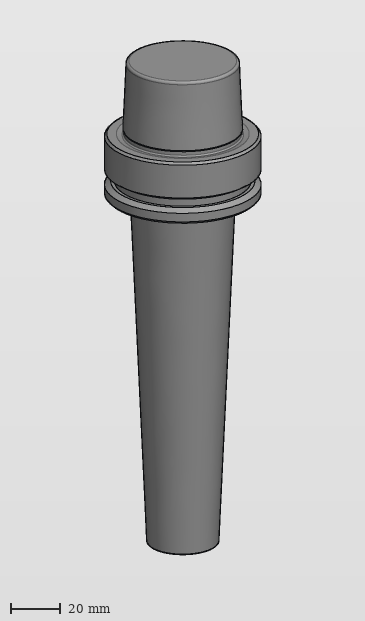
import cadquery as cq
import math

shank_length = 31.5
reach = 176.4
flange_width = 26.5
upper_collar_bottom = -16.7
lower_collar_top = -20.3

shank_top_radius = 22.85
shank_base_radius = 24.1
shank_base_height = 2.3
shank_edge_radius = 1.2

neck_radius = 23.7
neck_chamfer_height = 0.6
dish_radius = 26.7
dish_depth = 0.53
neck_fillet_radius = 0.6

flange_radius = 31.5
flange_chamfer = 1.0
groove_radius = 27.5
lip_radius = 29.0
lip_height = 1.5

nose_base_radius = 21.1
nose_tip_radius = 14.55
nose_root_radius = 3.0
nose_tip_chamfer = 0.5


def neck_fillet_ends():
    """Tangent points, as (radius, Z), of the fillet between the dish and the neck."""
    dish_slope = math.atan2(dish_depth, dish_radius - neck_radius)
    tangent_length = neck_fillet_radius / math.tan((math.pi / 2 - dish_slope) / 2)
    on_dish = (
        neck_radius + tangent_length * math.cos(dish_slope),
        -dish_depth + tangent_length * math.sin(dish_slope),
    )
    on_neck = (neck_radius, -dish_depth + tangent_length)
    return on_dish, on_neck


def half_profile():
    """Half section of the turned body; first coordinate is radius, second is Z."""
    fillet_start, fillet_end = neck_fillet_ends()
    profile = cq.Workplane("XZ").moveTo(0, -reach)

    profile = profile.lineTo(nose_tip_radius - nose_tip_chamfer, -reach)
    profile = profile.lineTo(nose_tip_radius, -reach + nose_tip_chamfer)
    profile = profile.lineTo(nose_base_radius, -flange_width - nose_root_radius)
    profile = profile.radiusArc((nose_base_radius + nose_root_radius, -flange_width), nose_root_radius)

    profile = profile.lineTo(flange_radius - flange_chamfer, -flange_width)
    profile = profile.lineTo(flange_radius, -flange_width + flange_chamfer)
    profile = profile.lineTo(flange_radius, lower_collar_top - lip_height)
    profile = profile.lineTo(lip_radius, lower_collar_top)

    profile = profile.lineTo(groove_radius, lower_collar_top)
    profile = profile.lineTo(groove_radius, upper_collar_bottom)

    profile = profile.lineTo(lip_radius, upper_collar_bottom)
    profile = profile.lineTo(flange_radius, upper_collar_bottom + lip_height)
    profile = profile.lineTo(flange_radius, -flange_chamfer)
    profile = profile.lineTo(flange_radius - flange_chamfer, 0)

    profile = profile.lineTo(dish_radius, 0)
    profile = profile.lineTo(*fillet_start)
    profile = profile.radiusArc(fillet_end, neck_fillet_radius)
    profile = profile.lineTo(neck_radius, shank_base_height - neck_chamfer_height)

    profile = profile.lineTo(shank_base_radius, shank_base_height)
    profile = profile.lineTo(shank_top_radius, shank_length - shank_edge_radius)
    profile = profile.radiusArc((shank_top_radius - shank_edge_radius, shank_length), -shank_edge_radius)
    return profile.lineTo(0, shank_length).close()


result = half_profile().revolve(360, (0, 0, 0), (0, 1, 0))